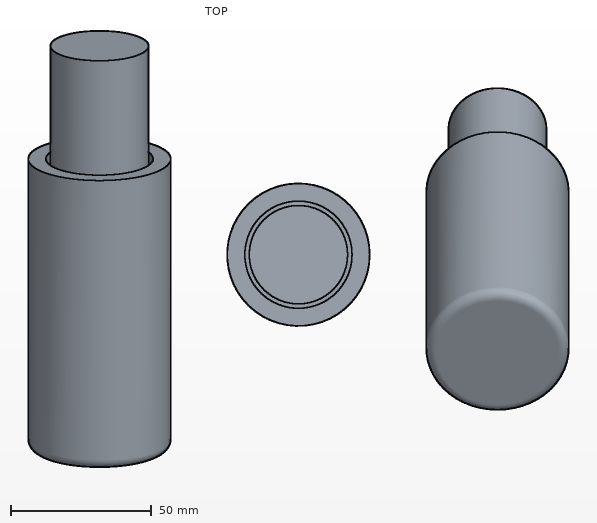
import cadquery as cq

total_height = 150.1
sleeve_height = 108.0
sleeve_diameter = 50.7
bore_diameter = 38.1
rod_diameter = 35.0
base_fillet = 3.5

wall = (sleeve_diameter - bore_diameter) / 2
bore_floor = wall


def make_sleeve():
    """Round cup, open at the top, with a rounded lower rim."""
    body = cq.Workplane("XY").circle(sleeve_diameter / 2).extrude(sleeve_height)
    body = body.faces("<Z").edges().fillet(base_fillet)
    bore = (
        cq.Workplane("XY", origin=(0, 0, bore_floor))
        .circle(bore_diameter / 2)
        .extrude(sleeve_height - bore_floor)
    )
    return body.cut(bore)


def make_rod():
    """Plain rod standing on the bore floor, with clearance all round."""
    return (
        cq.Workplane("XY", origin=(0, 0, bore_floor))
        .circle(rod_diameter / 2)
        .extrude(total_height - bore_floor)
    )


sleeve = make_sleeve()
rod = make_rod()

result = cq.Compound.makeCompound([sleeve.val(), rod.val()])